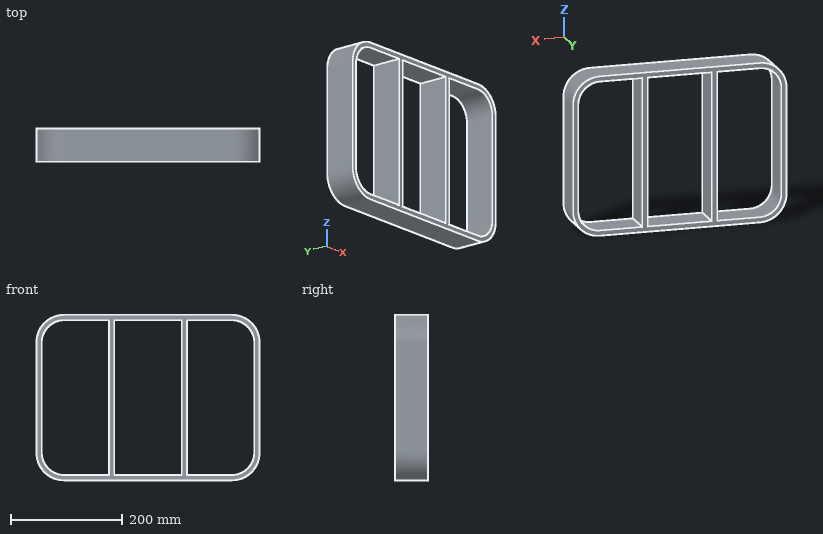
import cadquery as cq

length = 401.5
depth = 60.0
height = 298.0
wall = 10.0
corner_radius = 50.0
compartments = 3

inner_length = length - 2 * wall
inner_height = height - 2 * wall
compartment_length = (inner_length - (compartments - 1) * wall) / compartments
divider_pitch = compartment_length + wall


def block(size_x, size_z):
    """Centred box running the full depth of the frame."""
    return cq.Workplane("XY").box(size_x, depth, size_z)


outer = block(length, height).edges("|Y").fillet(corner_radius)
opening = block(inner_length, inner_height).edges("|Y").fillet(corner_radius - wall)
result = outer.cut(opening)

for index in range(1, compartments):
    divider_x = (index - compartments / 2) * divider_pitch
    divider = block(wall, inner_height + wall).translate((divider_x, 0, 0))
    result = result.union(divider)